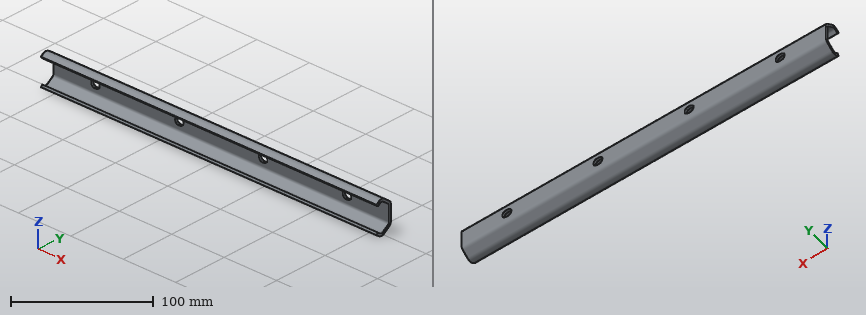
import cadquery as cq
import math

LENGTH = 320.0
DEPTH = 15.0
HEIGHT = 29.5

THICKNESS = 2.2
CREST_OUTER_RADIUS = 5.0
CREST_Y = 5.0
CORNER_OUTER_RADIUS = 4.5
FLANGE_ANGLE = 35.0
LIP_ANGLE = 36.0

HOLE_COUNT = 4
HOLE_PITCH = LENGTH / HOLE_COUNT
HOLE_LENGTH = 8.0
HOLE_HEIGHT = 7.0

FLANGE_NORMAL = 90.0 - FLANGE_ANGLE
LIP_NORMAL = 90.0 + LIP_ANGLE

CREST_Z = HEIGHT / 2 - CREST_OUTER_RADIUS
CORNER_Y = DEPTH - CORNER_OUTER_RADIUS
FLANGE_RUN = (CORNER_Y - CREST_Y) * math.sin(math.radians(FLANGE_ANGLE))
RADIUS_CHANGE = CREST_OUTER_RADIUS - CORNER_OUTER_RADIUS
CORNER_Z = CREST_Z + (RADIUS_CHANGE - FLANGE_RUN) / math.cos(math.radians(FLANGE_ANGLE))

LIP_START_Y = CREST_Y + CREST_OUTER_RADIUS * math.cos(math.radians(LIP_NORMAL))
LIP_LENGTH = LIP_START_Y / math.cos(math.radians(LIP_ANGLE))


def polar(center, radius, angle):
    """Point at a distance and angle from a centre in the YZ plane."""
    turn = math.radians(angle)
    return (center[0] + radius * math.cos(turn), center[1] + radius * math.sin(turn))


def half_skin(inset):
    """Points of one upper skin, from the web to the lip tip."""
    corner = (CORNER_Y, CORNER_Z)
    crest = (CREST_Y, CREST_Z)
    corner_radius = CORNER_OUTER_RADIUS - inset
    crest_radius = CREST_OUTER_RADIUS - inset
    lip_start = polar(crest, crest_radius, LIP_NORMAL)
    return [
        polar(corner, corner_radius, 0),
        polar(corner, corner_radius, FLANGE_NORMAL / 2),
        polar(corner, corner_radius, FLANGE_NORMAL),
        polar(crest, crest_radius, FLANGE_NORMAL),
        polar(crest, crest_radius, 90),
        lip_start,
        polar(lip_start, LIP_LENGTH, LIP_NORMAL + 90),
    ]


def half_rail():
    """Upper half of the rail, cut off at mid height."""
    outer = half_skin(0)
    inner = half_skin(THICKNESS)[::-1]
    section = cq.Workplane("YZ", origin=(-LENGTH / 2, 0, 0)).moveTo(DEPTH, 0)
    section = section.lineTo(*outer[0]).threePointArc(*outer[1:3])
    section = section.lineTo(*outer[3]).threePointArc(*outer[4:6]).lineTo(*outer[6])
    section = section.lineTo(*inner[0]).lineTo(*inner[1]).threePointArc(*inner[2:4])
    section = section.lineTo(*inner[4]).threePointArc(*inner[5:7])
    return section.lineTo(DEPTH - THICKNESS, 0).close().extrude(LENGTH)


def web_holes():
    """Row of slots, evenly spaced, long side along X."""
    return (
        cq.Workplane("XZ")
        .rarray(HOLE_PITCH, 3.2, HOLE_COUNT, 1)
        .slot2D(HOLE_LENGTH, HOLE_HEIGHT)
        .extrude(-2 * DEPTH)
    )


upper = half_rail()
rail = upper.union(upper.mirror("XY")).clean()
result = rail.cut(web_holes())